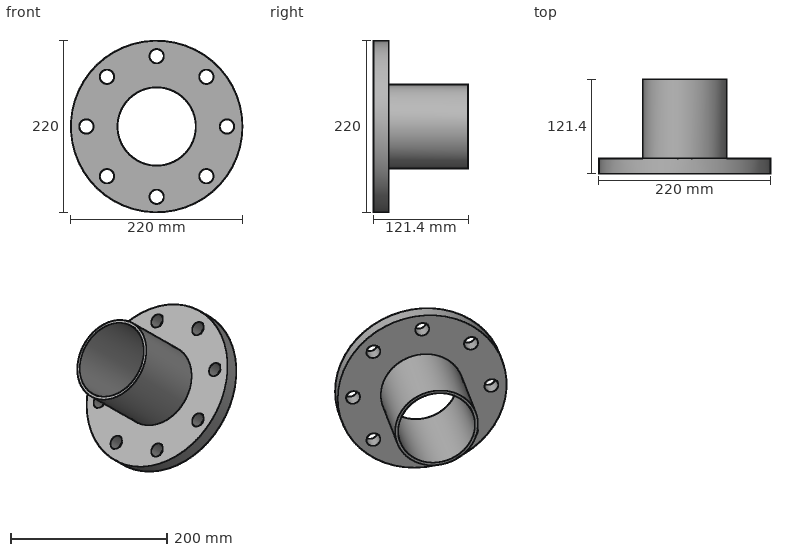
import cadquery as cq

flange_diameter = 220.0
flange_thickness = 20.0
overall_length = 121.43
neck_diameter = 108.0
bore_diameter = 100.0
bolt_circle_diameter = 180.0
bolt_hole_diameter = 18.0
bolt_hole_count = 8


def cylinder_along_y(diameter, length):
    """Solid cylinder on the Y axis, running from Y = 0 to Y = length."""
    return cq.Workplane("XZ").circle(diameter / 2).extrude(-length)


def bolt_holes():
    """Ring of cutters through the flange, the first one on the +X axis."""
    return (
        cq.Workplane("XZ")
        .polarArray(bolt_circle_diameter / 2, 0, 360, bolt_hole_count)
        .circle(bolt_hole_diameter / 2)
        .extrude(-flange_thickness)
    )


flange = cylinder_along_y(flange_diameter, flange_thickness)
neck = cylinder_along_y(neck_diameter, overall_length)
bore = cylinder_along_y(bore_diameter, overall_length)

result = flange.union(neck).cut(bore).cut(bolt_holes())